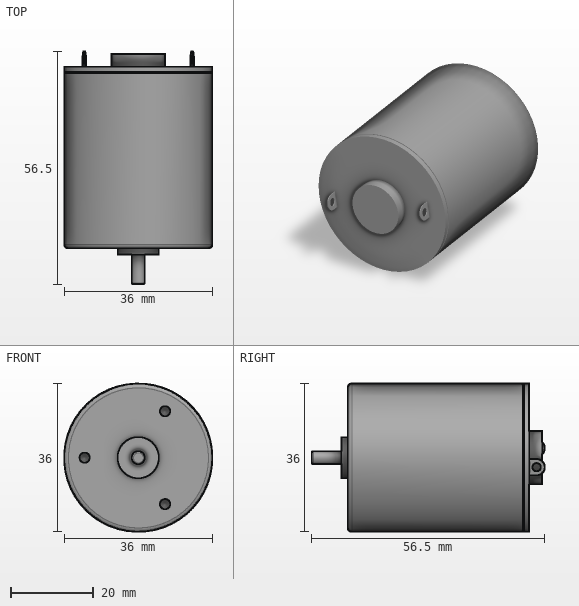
import cadquery as cq
import math

boss_front = 7.2
can_front = 8.7
groove_front = 51.15
groove_rear = 51.45
can_rear = 52.7
rear_boss_end = 55.8
overall_length = 56.5

can_diameter = 36.0
groove_diameter = 35.6
can_fillet = 1.0
shaft_diameter = 3.15
shaft_fillet = 0.37
front_boss_diameter = 10.0
rear_boss_diameter = 13.0

hole_count = 3
hole_diameter = 2.5
hole_pitch_radius = 13.0
hole_depth = 3.0
drill_tip_angle = 118.0

terminal_width = 4.0
terminal_thickness = 0.2
terminal_hole_diameter = 2.05
terminal_pitch_radius = 13.3
terminal_angle = 10.0
terminal_embed = 0.55


def cylinder(diameter, start, end):
    """Cylinder on the motor axis between two Y positions."""
    return cq.Workplane("XZ", origin=(0, start, 0)).circle(diameter / 2).extrude(start - end)


def make_body():
    can = cylinder(can_diameter, can_front, can_rear).faces("<Y").edges().fillet(can_fillet)
    groove = cylinder(can_diameter, groove_front, groove_rear)
    groove = groove.cut(cylinder(groove_diameter, groove_front, groove_rear))
    shaft = cylinder(shaft_diameter, 0, can_front).faces("<Y").edges().fillet(shaft_fillet)
    front_boss = cylinder(front_boss_diameter, boss_front, can_front)
    rear_boss = cylinder(rear_boss_diameter, can_rear, rear_boss_end)
    return can.cut(groove).union(front_boss).union(shaft).union(rear_boss)


def make_mounting_hole():
    """Blind drilled hole with a conical bottom, on the -X side."""
    radius = hole_diameter / 2
    tip_length = radius / math.tan(math.radians(drill_tip_angle / 2))
    hole_bottom = can_front + hole_depth
    return (
        cq.Workplane("XY")
        .moveTo(0, can_front)
        .lineTo(radius, can_front)
        .lineTo(radius, hole_bottom)
        .lineTo(0, hole_bottom + tip_length)
        .close()
        .revolve(360, (0, 0, 0), (0, 1, 0))
        .translate((-hole_pitch_radius, 0, 0))
    )


def make_terminal():
    """Round-ended tab with an eyelet, on the -X side and square to the radius."""
    radius = terminal_width / 2
    eyelet_y = overall_length - radius
    base_y = can_rear - terminal_embed
    return (
        cq.Workplane("YZ")
        .moveTo(base_y, -radius)
        .lineTo(eyelet_y, -radius)
        .threePointArc((overall_length, 0), (eyelet_y, radius))
        .lineTo(base_y, radius)
        .close()
        .moveTo(eyelet_y, 0)
        .circle(terminal_hole_diameter / 2)
        .extrude(terminal_thickness / 2, both=True)
        .translate((-terminal_pitch_radius, 0, 0))
    )


def turned(shape, angle):
    """Shape rotated about the motor axis by an angle in degrees."""
    return shape.rotate((0, 0, 0), (0, 1, 0), angle)


result = make_body()
for index in range(hole_count):
    result = result.cut(turned(make_mounting_hole(), index * 360 / hole_count))
for angle in (terminal_angle, terminal_angle + 180):
    result = result.union(turned(make_terminal(), angle))